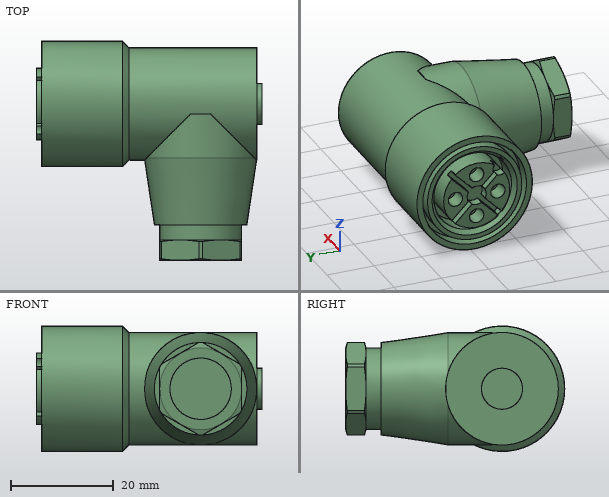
import cadquery as cq
import math

BODY_DIA = 22.0
BODY_END = 43.05
LENGTH = 44.05
CAP_DIA = 8.0

SLEEVE_DIA = 24.5
SLEEVE_START = 1.0
SLEEVE_END = 16.8
SLEEVE_TAPER = (SLEEVE_DIA - BODY_DIA) / 2
RING_GROOVE_OUTER_DIA = 22.0
RING_GROOVE_INNER_DIA = 20.0
RING_GROOVE_DEPTH = 3.1
SOCKET_MOUTH_DIA = 18.05
SOCKET_FLOOR_DIA = 16.47
SOCKET_TAPER_LENGTH = 1.0
SOCKET_DEPTH = 5.3
NOTCH_WIDTH = 0.95
NOTCH_RADIUS = 8.5

INSERT_DIA = 14.0
CONTACT_DIA = 3.0
CONTACT_RADIUS = 4.5
CONTACT_DEPTH = 3.52
CROSS_WIDTH = 1.05
CROSS_DEPTH = 2.03
HUB_DIA = 4.05
KEYWAY_DIA = 3.0
KEYWAY_RADIUS = INSERT_DIA / 2
KEYWAY_ANGLE = 45

BRANCH_X = BODY_END - BODY_DIA / 2
BRANCH_START = 2.0
CONE_START = 10.5
CONE_END = 23.55
CONE_END_DIA = 18.05
NECK_DIA = 16.0
NUT_START = 26.5
NUT_END = 42.75 - SLEEVE_DIA / 2
NUT_FLATS = NECK_DIA
NUT_CORNER_DIA = 18.05
NUT_FACE_DIA = NUT_FLATS
NUT_BEVEL_LENGTH = 0.3
BORE_DIA = 12.0
BORE_DEPTH = 13.2


def rod(dia, start, end):
    """Cylinder along X, centred on the body axis."""
    return cq.Workplane("YZ").workplane(offset=start).circle(dia / 2).extrude(end - start)


def branch_plane(distance):
    """Plane facing -Y, centred on the branch axis; its local x is global X."""
    return cq.Workplane("XZ", origin=(BRANCH_X, -distance, 0))


def branch_rod(dia, start, end):
    """Cylinder along the branch axis."""
    return branch_plane(start).circle(dia / 2).extrude(end - start)


def turn_about_body(profile):
    """Solid of revolution about the body axis."""
    return cq.Workplane("XY").polyline(profile).close().revolve(360, (0, 0, 0), (1, 0, 0))


def turn_about_branch(profile):
    """Solid of revolution about the branch axis."""
    outline = cq.Workplane("XY").polyline(profile).close()
    return outline.revolve(360, (BRANCH_X, 0, 0), (BRANCH_X, 1, 0))


def make_body():
    """Sleeve, straight tube and end cap turned about X."""
    profile = [
        (SLEEVE_START, 0),
        (SLEEVE_START, SLEEVE_DIA / 2),
        (SLEEVE_END, SLEEVE_DIA / 2),
        (SLEEVE_END + SLEEVE_TAPER, BODY_DIA / 2),
        (BODY_END, BODY_DIA / 2),
        (BODY_END, CAP_DIA / 2),
        (LENGTH, CAP_DIA / 2),
        (LENGTH, 0),
    ]
    return turn_about_body(profile)


def make_socket():
    """Recess in the sleeve face: tapered mouth, straight wall and flat floor."""
    profile = [
        (SLEEVE_START, 0),
        (SLEEVE_START, SOCKET_MOUTH_DIA / 2),
        (SLEEVE_START + SOCKET_TAPER_LENGTH, SOCKET_FLOOR_DIA / 2),
        (SLEEVE_START + SOCKET_DEPTH, SOCKET_FLOOR_DIA / 2),
        (SLEEVE_START + SOCKET_DEPTH, 0),
    ]
    return turn_about_body(profile)


def make_notch():
    """Narrow notch in the socket wall, in line with the keyway."""
    notch = (
        cq.Workplane("YZ", origin=(SLEEVE_START, 0, 0))
        .center(0, NOTCH_RADIUS / 2)
        .rect(NOTCH_WIDTH, NOTCH_RADIUS)
        .extrude(SOCKET_DEPTH)
    )
    return notch.rotate((0, 0, 0), (1, 0, 0), KEYWAY_ANGLE)


def make_ring_groove():
    """Annular groove in the sleeve face."""
    end = SLEEVE_START + RING_GROOVE_DEPTH
    outer = rod(RING_GROOVE_OUTER_DIA, SLEEVE_START, end)
    return outer.cut(rod(RING_GROOVE_INNER_DIA, SLEEVE_START, end))


def make_insert():
    """Contact carrier with four contacts, a diagonal cross, a hub recess and a keyway."""
    insert = rod(INSERT_DIA, 0, SLEEVE_START + SOCKET_DEPTH)
    contacts = (
        cq.Workplane("YZ")
        .polarArray(CONTACT_RADIUS, 0, 360, 4)
        .circle(CONTACT_DIA / 2)
        .extrude(CONTACT_DEPTH)
    )
    insert = insert.cut(contacts).cut(rod(HUB_DIA, 0, CROSS_DEPTH))
    for angle in (45, 135):
        slot = cq.Workplane("YZ").rect(INSERT_DIA, CROSS_WIDTH).extrude(CROSS_DEPTH)
        insert = insert.cut(slot.rotate((0, 0, 0), (1, 0, 0), angle))
    keyway = cq.Workplane("YZ").center(0, KEYWAY_RADIUS).circle(KEYWAY_DIA / 2).extrude(CROSS_DEPTH)
    return insert.cut(keyway.rotate((0, 0, 0), (1, 0, 0), KEYWAY_ANGLE))


def make_branch():
    """Cylindrical root, tapered housing and neck."""
    root = branch_rod(BODY_DIA, BRANCH_START, CONE_START)
    profile = [
        (BRANCH_X, -CONE_START),
        (BRANCH_X + BODY_DIA / 2, -CONE_START),
        (BRANCH_X + CONE_END_DIA / 2, -CONE_END),
        (BRANCH_X, -CONE_END),
    ]
    housing = turn_about_branch(profile)
    return root.union(housing).union(branch_rod(NECK_DIA, CONE_END, NUT_START))


def make_nut():
    """Hexagon with corners up and down, trimmed by a bevelled cylinder."""
    corner_dia = NUT_FLATS / math.cos(math.radians(30))
    hexagon = (
        branch_plane(NUT_START)
        .transformed(rotate=(0, 0, 30))
        .polygon(6, corner_dia)
        .extrude(NUT_END - NUT_START)
    )
    profile = [
        (BRANCH_X, -NUT_START),
        (BRANCH_X + NUT_FACE_DIA / 2, -NUT_START),
        (BRANCH_X + NUT_CORNER_DIA / 2, -NUT_START - NUT_BEVEL_LENGTH),
        (BRANCH_X + NUT_CORNER_DIA / 2, -NUT_END + NUT_BEVEL_LENGTH),
        (BRANCH_X + NUT_FACE_DIA / 2, -NUT_END),
        (BRANCH_X, -NUT_END),
    ]
    trim = turn_about_branch(profile)
    return hexagon.intersect(trim)


body = make_body().union(make_branch()).union(make_nut())
body = body.cut(make_socket()).cut(make_notch()).cut(make_ring_groove())
body = body.cut(branch_rod(BORE_DIA, NUT_END - BORE_DEPTH, NUT_END))
result = body.union(make_insert())